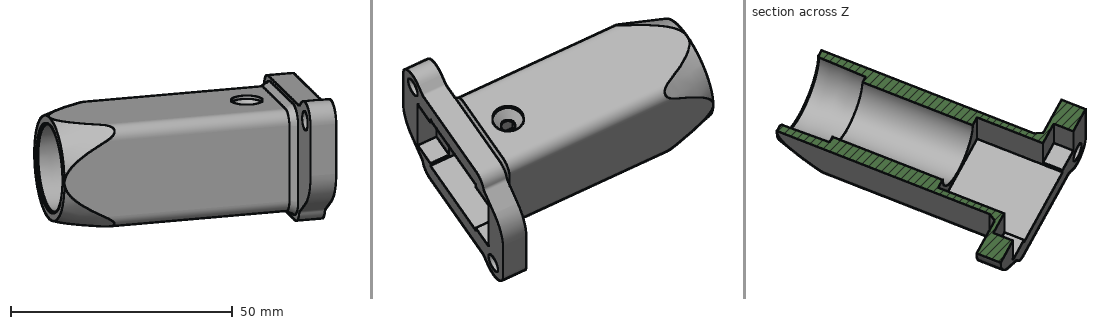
import cadquery as cq
import math

length = 60.8
flange_thickness = 6.1
flange_face = -flange_thickness
mouth_face = -length

flange_width = 45.6
flange_height = 32.45
block_side = 27.95
block_corner_radius = 3.45
ear_slope = math.radians(35)
lobe_radius = 4.45
shoulder_radius = 9.35
ear_inner_x = -10.95
upper_join_radius = 1.2
lower_join_radius = 1.05
join_reach = 1.8
screw_hole_diameter = 4.3

tube_side = 24.0
tube_corner_radius = 3.1
mouth_cone_length = 12.05
flare_growth = 1.05
flare_length = 1.75

through_radius = 8.0
socket_radius = 9.9
socket_floor_radius = 9.6
socket_depth = 12.05
socket_chamfer = 0.35

cavity_width = 20.7
cavity_height = 17.65
cavity_depth = 21.3
recess_width = 32.2
recess_height = 15.8
recess_depth = 4.85

sink_y = -14.3
sink_diameter = 7.1
sink_hole_diameter = 3.3
sink_angle = 90.0
sink_rim_depth = 0.8

ear_outer_x = -flange_width / 2
lobe_x = ear_outer_x + lobe_radius
lobe_z = -flange_height / 2 + lobe_radius
shoulder_z = shoulder_radius * math.tan((math.pi / 2 - ear_slope) / 2)
heel_z = lobe_z - lobe_radius * math.tan((math.pi / 2 + ear_slope) / 2)


def plane_at(y):
    """Plane facing the mouth, with local x along X and local y along Z."""
    return cq.Workplane("XZ", origin=(0, y, 0))


def make_ear():
    rise = (ear_inner_x - ear_outer_x) * math.tan(ear_slope)
    outline = [
        (ear_outer_x, heel_z),
        (ear_outer_x, shoulder_z),
        (ear_inner_x, shoulder_z + rise),
        (ear_inner_x, heel_z + rise),
    ]
    ear = plane_at(0).polyline(outline).close().extrude(flange_thickness)
    ear = ear.edges("|Y and <X").edges(">Z").fillet(shoulder_radius)
    return ear.edges("|Y").edges("<Z").fillet(lobe_radius)


def fillet_join(body, x, z, radius):
    """Round the hollow edge near (x, z) and the matching one half a turn round."""
    for side in (1, -1):
        box = cq.selectors.BoxSelector(
            (side * x - join_reach / 2, -flange_thickness, side * z - join_reach / 2),
            (side * x + join_reach / 2, 0, side * z + join_reach / 2),
        )
        body = body.edges("|Y").edges(box).fillet(radius)
    return body


def make_flange():
    ear = make_ear()
    flange = plane_at(0).rect(block_side, block_side).extrude(flange_thickness)
    flange = flange.edges("<(1, 0, -1) or >(1, 0, -1)").fillet(block_corner_radius)
    flange = flange.union(ear).union(ear.rotate((0, 0, 0), (0, 1, 0), 180))

    half_block = block_side / 2
    upper_join_z = shoulder_z + (-half_block - ear_outer_x) * math.tan(ear_slope)
    lower_join_x = ear_outer_x + (-half_block - heel_z) / math.tan(ear_slope)
    flange = fillet_join(flange, -half_block, upper_join_z, upper_join_radius)
    flange = fillet_join(flange, lower_join_x, -half_block, lower_join_radius)

    holes = [(lobe_x, lobe_z), (-lobe_x, -lobe_z)]
    cutter = plane_at(0).pushPoints(holes).circle(screw_hole_diameter / 2).extrude(flange_thickness)
    return flange.cut(cutter)


def make_tube():
    tube = plane_at(0).rect(tube_side, tube_side).extrude(length)
    tube = tube.edges("|Y").fillet(tube_corner_radius)

    mouth_radius = tube_side / 2
    corner_reach = (mouth_radius - tube_corner_radius) * math.sqrt(2) + tube_corner_radius
    cone = (
        cq.Workplane("XY")
        .moveTo(0, mouth_face)
        .lineTo(mouth_radius, mouth_face)
        .lineTo(corner_reach, mouth_face + mouth_cone_length)
        .lineTo(corner_reach, 0)
        .lineTo(0, 0)
        .close()
        .revolve(360, (0, 0, 0), (0, 1, 0))
    )
    return tube.intersect(cone)


def make_flare():
    root_side = tube_side + 2 * flare_growth
    root = cq.Sketch().rect(root_side, root_side).vertices().fillet(tube_corner_radius + flare_growth)
    taper = math.degrees(math.atan(flare_growth / flare_length))
    return plane_at(flange_face).placeSketch(root).extrude(flare_length, taper=taper)


def make_bore():
    chamfer_end = mouth_face + socket_chamfer
    socket_floor = mouth_face + socket_depth
    return (
        cq.Workplane("XY")
        .moveTo(0, mouth_face)
        .lineTo(socket_radius + socket_chamfer, mouth_face)
        .lineTo(socket_radius, chamfer_end)
        .lineTo(socket_floor_radius, socket_floor)
        .lineTo(through_radius, socket_floor)
        .lineTo(through_radius, 0)
        .lineTo(0, 0)
        .close()
        .revolve(360, (0, 0, 0), (0, 1, 0))
    )


def make_cavity():
    chamber = plane_at(0).rect(cavity_width, cavity_height).extrude(cavity_depth)
    recess = plane_at(0).rect(recess_width, recess_height).extrude(recess_depth)
    return chamber.union(recess)


def make_countersunk_hole():
    rim_radius = sink_diameter / 2
    hole_radius = sink_hole_diameter / 2
    cone_depth = (rim_radius - hole_radius) / math.tan(math.radians(sink_angle / 2))
    top_z = tube_side / 2
    cone_top_z = top_z - sink_rim_depth
    return (
        cq.Workplane("XZ", origin=(0, sink_y, 0))
        .moveTo(0, top_z)
        .lineTo(rim_radius, top_z)
        .lineTo(rim_radius, cone_top_z)
        .lineTo(hole_radius, cone_top_z - cone_depth)
        .lineTo(hole_radius, 0)
        .lineTo(0, 0)
        .close()
        .revolve(360, (0, 0, 0), (0, 1, 0))
    )


body = make_tube().union(make_flange()).union(make_flare())
result = body.cut(make_bore()).cut(make_cavity()).cut(make_countersunk_hole())